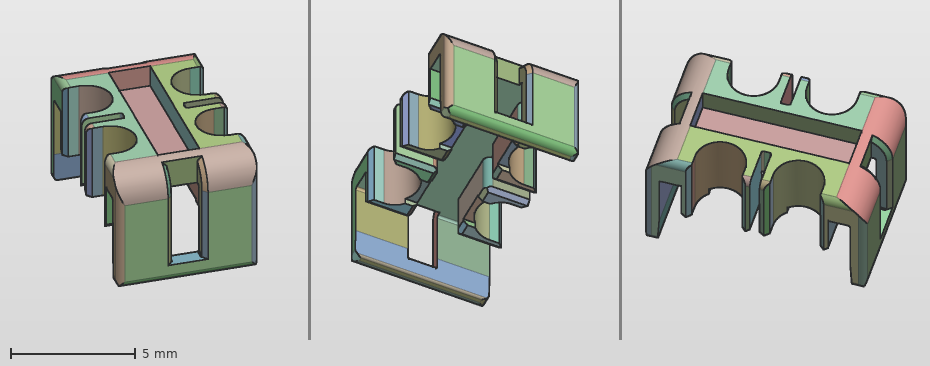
import cadquery as cq

LENGTH = 9.3
WIDTH = 5.95
HEIGHT = 5.2
OVERLAP = 0.09

SHOULDER_RADIUS = 1.3
EDGE_RADIUS = 0.3
DECK_THICKNESS = 1.3
LEG_THICKNESS = 0.63
LEG_TIP_THICKNESS = 0.56
LEG_TAPER_TOP = -3.86
TOE_RADIUS = 0.1
INNER_CORNER_RADIUS = 0.1

CLIP_PITCH = 3.29
BORE_RADIUS = 1.06
CLIP_WALL = 0.38
CLIP_BACK_WALL = 0.26
CLIP_HALF_WIDTH = BORE_RADIUS + CLIP_WALL
CLIP_CORNER_RADIUS = 0.3
CLIP_DEPTH = 3.25
CLIP_CHAMFER = 0.195
BORE_FLOOR_Y = 1.28
BORE_CENTRE_Y = BORE_FLOOR_Y + BORE_RADIUS
NOTCH_WIDTH = 1.42
NOTCH_HEIGHT = 0.29

SLOT_WIDTH = CLIP_PITCH - 2 * CLIP_HALF_WIDTH
SLOT_CORNER_RADIUS = 0.09

POCKET_LENGTH = LENGTH - 2 * SHOULDER_RADIUS
POCKET_WIDTH = 1.75
POCKET_DEPTH = 0.93

WINDOW_WIDTH = 1.29
WINDOW_DEPTH = 0.85
WINDOW_SILL_OUTER_Z = -4.455
WINDOW_SILL_INNER_Z = -4.37
WINDOW_CHAMFER = 0.195
WINDOW_SILL_CHAMFER = 0.05


def saddle():
    """Deck and legs as one profile across the full width, rounded at shoulders and toes."""
    half = LENGTH / 2
    inner_x = half - LEG_THICKNESS
    tip_x = half - LEG_TIP_THICKNESS
    outer = (
        cq.Workplane("XY")
        .box(LENGTH, WIDTH, HEIGHT, centered=(True, True, False))
        .translate((0, 0, -HEIGHT))
        .edges("|Y and >Z")
        .fillet(SHOULDER_RADIUS)
        .edges("|Y and <Z")
        .fillet(EDGE_RADIUS)
    )
    opening = (
        cq.Workplane("XZ")
        .moveTo(-inner_x, -DECK_THICKNESS)
        .lineTo(inner_x, -DECK_THICKNESS)
        .lineTo(inner_x, LEG_TAPER_TOP)
        .lineTo(tip_x, -HEIGHT)
        .lineTo(-tip_x, -HEIGHT)
        .lineTo(-inner_x, LEG_TAPER_TOP)
        .close()
        .extrude(WIDTH / 2 + OVERLAP, both=True)
        .edges("|Y and >Z")
        .fillet(INNER_CORNER_RADIUS)
    )
    toes = cq.selectors.BoxSelector(
        (-tip_x - TOE_RADIUS, -WIDTH, -HEIGHT - TOE_RADIUS),
        (tip_x + TOE_RADIUS, WIDTH, -HEIGHT + TOE_RADIUS),
    )
    return outer.cut(opening).edges("|Y").edges(toes).fillet(TOE_RADIUS)


def envelope():
    """Block rounded along its X and Z edges, limiting saddle and clips."""
    block = cq.Workplane("XY").box(LENGTH, WIDTH, HEIGHT).translate((0, 0, -HEIGHT / 2))
    return block.edges("|X").fillet(EDGE_RADIUS).intersect(block.edges("|Z").fillet(EDGE_RADIUS))


def clip_body():
    """Block for one clip on the +Y side, centred on X = 0, hanging from the deck underside."""
    back_y = BORE_FLOOR_Y - CLIP_BACK_WALL
    height = CLIP_DEPTH - DECK_THICKNESS + OVERLAP
    block = (
        cq.Workplane("XY")
        .box(2 * CLIP_HALF_WIDTH, WIDTH / 2 - back_y, height, centered=(True, False, False))
        .translate((0, back_y, -CLIP_DEPTH))
    )
    rounded_back = block.edges("|Z and <Y").fillet(CLIP_CORNER_RADIUS)
    chamfered_foot = block.faces("<Z").edges("|Y or <Y").chamfer(CLIP_CHAMFER)
    return rounded_back.intersect(chamfered_foot)


def clip_bore():
    """U-shaped bore with a flared mouth and the notch across the clip's lower end."""
    edge_y = WIDTH / 2
    flare_x = BORE_RADIUS + CLIP_CHAMFER
    bore = (
        cq.Workplane("XY")
        .moveTo(-flare_x, edge_y)
        .lineTo(-BORE_RADIUS, edge_y - CLIP_CHAMFER)
        .lineTo(-BORE_RADIUS, BORE_CENTRE_Y)
        .threePointArc((0, BORE_FLOOR_Y), (BORE_RADIUS, BORE_CENTRE_Y))
        .lineTo(BORE_RADIUS, edge_y - CLIP_CHAMFER)
        .lineTo(flare_x, edge_y)
        .close()
        .extrude(-CLIP_DEPTH)
    )
    notch = (
        cq.Workplane("XY")
        .box(NOTCH_WIDTH, edge_y, NOTCH_HEIGHT, centered=(True, False, False))
        .translate((0, 0, -CLIP_DEPTH))
    )
    return bore.union(notch)


def slot():
    """Slot between two clips, open toward +Y, with rounded corners at its closed end."""
    return (
        cq.Workplane("XY")
        .box(SLOT_WIDTH, WIDTH / 2, DECK_THICKNESS, centered=(True, False, False))
        .translate((0, BORE_FLOOR_Y, -DECK_THICKNESS))
        .edges("|Z and <Y")
        .fillet(SLOT_CORNER_RADIUS)
    )


def on_both_long_sides(shape):
    """The shape and its half-turn copy about Z."""
    return shape.union(shape.rotate((0, 0, 0), (0, 0, 1), 180))


def at_both_clips(shape):
    """The shape at both clip positions along X."""
    offset = CLIP_PITCH / 2
    return shape.translate((-offset, 0, 0)).union(shape.translate((offset, 0, 0)))


def pocket():
    """Rectangular recess in the top of the deck."""
    return (
        cq.Workplane("XY")
        .box(POCKET_LENGTH, POCKET_WIDTH, POCKET_DEPTH)
        .translate((0, 0, -POCKET_DEPTH / 2))
    )


def window():
    """Window through the +X leg with a sloped sill, reaching up through the shoulder."""
    outer_x = LENGTH / 2
    back_x = outer_x - WINDOW_DEPTH
    return (
        cq.Workplane("XZ")
        .moveTo(outer_x, WINDOW_SILL_OUTER_Z)
        .lineTo(back_x, WINDOW_SILL_INNER_Z)
        .lineTo(back_x, 0)
        .lineTo(outer_x, 0)
        .close()
        .extrude(WINDOW_WIDTH / 2, both=True)
    )


def sill_corner(x_sign, y_sign):
    """Selector for the inner corner edge between a window's sill and one of its sides."""
    x = x_sign * (LENGTH / 2 - LEG_THICKNESS / 2)
    y = y_sign * WINDOW_WIDTH / 2
    z = (WINDOW_SILL_OUTER_Z + WINDOW_SILL_INNER_Z) / 2
    return cq.selectors.NearestToPointSelector((x, y, z))


def window_rim(x_sign, y_sign):
    """Selector for the outer upright rim of one window side, including its run over the shoulder."""
    y = y_sign * WINDOW_WIDTH / 2
    x_near = x_sign * (LENGTH / 2 - WINDOW_DEPTH / 2)
    x_far = x_sign * (LENGTH / 2 + OVERLAP)
    return cq.selectors.BoxSelector(
        (x_near, y - OVERLAP, WINDOW_SILL_INNER_Z),
        (x_far, y + OVERLAP, 0),
    )


body = saddle().union(on_both_long_sides(at_both_clips(clip_body())))
body = body.intersect(envelope())
body = body.cut(on_both_long_sides(at_both_clips(clip_bore())))
body = body.cut(on_both_long_sides(slot()))
body = body.cut(pocket())
body = body.cut(on_both_long_sides(window()))
for x_sign in (-1, 1):
    for y_sign in (-1, 1):
        body = body.edges(window_rim(x_sign, y_sign)).chamfer(WINDOW_CHAMFER)
        body = body.edges(sill_corner(x_sign, y_sign)).chamfer(WINDOW_SILL_CHAMFER)
result = body